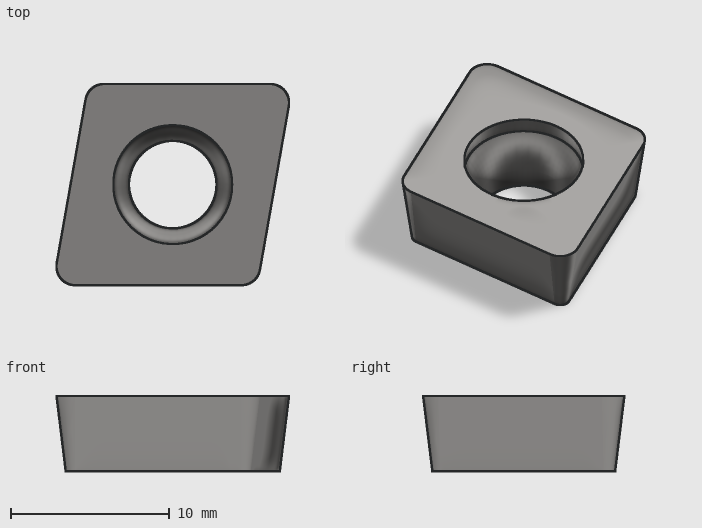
import cadquery as cq
import math

inscribed_circle = 12.7
thickness = 4.76
corner_angle = 80.0
corner_radius = 1.2
clearance_angle = 7.0

mouth_radius = 3.75
bore_radius = 2.75
mouth_depth = 1.0
seat_radius = 3.5

top_z = thickness / 2


def insert_body():
    """Rounded rhombus narrowing downward, with conical corners."""
    side = inscribed_circle / math.sin(math.radians(corner_angle))
    lean = inscribed_circle / math.tan(math.radians(corner_angle))
    half_height = inscribed_circle / 2
    long_x = (side + lean) / 2
    short_x = (side - lean) / 2
    corners = [
        (-long_x, -half_height),
        (short_x, -half_height),
        (long_x, half_height),
        (-short_x, half_height),
    ]
    outline = cq.Sketch().polygon(corners + corners[:1]).vertices().fillet(corner_radius)
    return (
        cq.Workplane("XY", origin=(0, 0, top_z))
        .placeSketch(outline)
        .extrude(-thickness, taper=clearance_angle)
    )


def screw_hole():
    """Revolved hole whose convex seat runs tangent into the bore."""
    mouth_z = top_z - mouth_depth
    seat_step = mouth_radius - bore_radius
    seat_sweep = math.acos(1 - seat_step / seat_radius)
    seat_end_z = mouth_z - seat_radius * math.sin(seat_sweep)
    half_sweep = seat_sweep / 2
    seat_middle = (
        bore_radius + seat_radius * (1 - math.cos(half_sweep)),
        seat_end_z + seat_radius * math.sin(half_sweep),
    )
    return (
        cq.Workplane("XZ")
        .moveTo(0, -top_z)
        .lineTo(bore_radius, -top_z)
        .lineTo(bore_radius, seat_end_z)
        .threePointArc(seat_middle, (mouth_radius, mouth_z))
        .lineTo(mouth_radius, top_z)
        .lineTo(0, top_z)
        .close()
        .revolve(360, (0, 0, 0), (0, 1, 0))
    )


result = insert_body().cut(screw_hole())